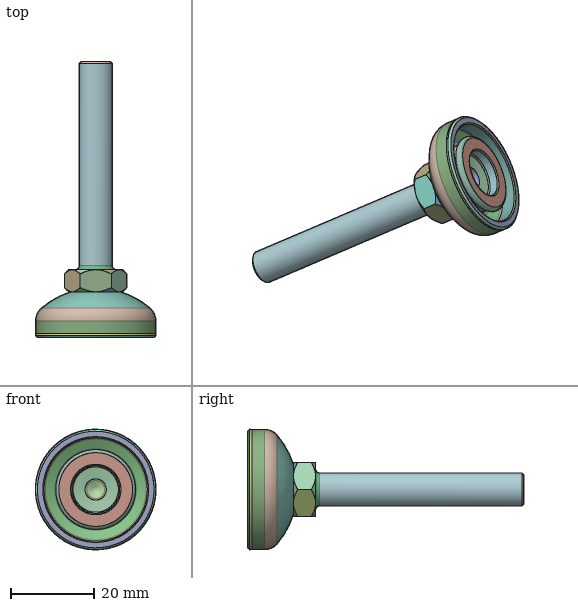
import cadquery as cq
import math


rim_radius = 14.5
base_radius = 14.45
rim_chamfer = 0.5
rim_band_top = 1.0
rim_band_flare = 0.1
shoulder_start = 4.05
shoulder_radius = 4.0
dome_radius = 20.0
base_height = 11.0

cavity_radius = 12.4
cavity_wall_end = 3.7
cavity_roof_slope = 30.0
edge_break = 0.3

boss_face = 0.2
boss_face_radius = 8.85
lip_outer_radius = 9.6
lip_height = 2.0
neck_radius = 8.55
neck_fillet = 0.8

recess_radius = 5.75
recess_wall_end = 2.6
recess_floor_slope = 11.0
bore_radius = 2.55

hex_across_flats = 13.0
hex_height = 5.3
hex_chamfer_slope = 45.0
rod_radius = 4.0
rod_length = 50.0
rod_chamfer = 0.5
rod_fillet = 1.0
pin_end = 6.0
pin_hollow_radius = 2.15
pin_hollow_slope = 26.0
pin_rim_slope = 12.0


def rise(run, slope):
    """Height gained over a radial run at a slope in degrees."""
    return run * math.tan(math.radians(slope))


def revolve_about_y(profile):
    return profile.close().revolve(360, (0, 0, 0), (0, 1, 0))


def make_base():
    shoulder_x = base_radius - shoulder_radius
    centre_gap = dome_radius - shoulder_radius
    joint_angle = math.acos(shoulder_x / centre_gap)
    dome_centre = shoulder_start - centre_gap * math.sin(joint_angle)

    def on_shoulder(angle):
        return (
            shoulder_x + shoulder_radius * math.cos(angle),
            shoulder_start + shoulder_radius * math.sin(angle),
        )

    def on_dome(angle):
        return (
            dome_radius * math.cos(angle),
            dome_centre + dome_radius * math.sin(angle),
        )

    seat_angle = math.asin((base_height - dome_centre) / dome_radius)

    lip_top = boss_face + lip_height
    cavity_end_radius = cavity_radius - edge_break
    cavity_end = cavity_wall_end + edge_break
    cavity_top = cavity_end + rise(cavity_end_radius - neck_radius, cavity_roof_slope)

    fillet_turn = math.pi / 2 + math.radians(cavity_roof_slope)
    fillet_start = cavity_top - neck_fillet / math.tan((math.pi - fillet_turn) / 2)

    def on_neck_fillet(angle):
        return (
            neck_radius + neck_fillet + neck_fillet * math.cos(angle),
            fillet_start + neck_fillet * math.sin(angle),
        )

    recess_end_radius = recess_radius - edge_break
    recess_end = recess_wall_end + edge_break
    bore_mouth = recess_end + rise(recess_end_radius - bore_radius, recess_floor_slope)

    profile = (
        cq.Workplane("XY")
        .moveTo(rim_radius - rim_chamfer, 0)
        .lineTo(rim_radius, rim_chamfer)
        .lineTo(rim_radius - rim_band_flare, rim_band_top)
        .lineTo(base_radius, rim_band_top)
        .lineTo(base_radius, shoulder_start)
        .threePointArc(on_shoulder(joint_angle / 2), on_shoulder(joint_angle))
        .threePointArc(on_dome((joint_angle + seat_angle) / 2), on_dome(seat_angle))
        .lineTo(bore_radius, base_height)
        .lineTo(bore_radius, bore_mouth)
        .lineTo(recess_end_radius, recess_end)
        .lineTo(recess_radius, recess_wall_end)
        .lineTo(recess_radius, boss_face + edge_break)
        .lineTo(recess_radius + edge_break, boss_face)
        .lineTo(boss_face_radius, boss_face)
        .threePointArc((lip_outer_radius, boss_face + lip_height / 2), (neck_radius, lip_top))
        .lineTo(neck_radius, fillet_start)
        .threePointArc(on_neck_fillet(math.pi - fillet_turn / 2), on_neck_fillet(math.pi - fillet_turn))
        .lineTo(cavity_end_radius, cavity_end)
        .lineTo(cavity_radius, cavity_wall_end)
        .lineTo(cavity_radius, edge_break)
        .lineTo(cavity_radius + edge_break, 0)
    )
    return revolve_about_y(profile)


def make_hexagon():
    corner_radius = hex_across_flats / 2 / math.cos(math.pi / 6)
    face_radius = hex_across_flats / 2
    hex_top = base_height + hex_height
    chamfer_height = rise(corner_radius - face_radius, hex_chamfer_slope)

    prism = (
        cq.Workplane("XZ", origin=(0, base_height, 0))
        .polygon(6, 2 * corner_radius)
        .extrude(-hex_height)
    )
    envelope = revolve_about_y(
        cq.Workplane("XY")
        .moveTo(0, base_height)
        .lineTo(face_radius, base_height)
        .lineTo(corner_radius, base_height + chamfer_height)
        .lineTo(corner_radius, hex_top - chamfer_height)
        .lineTo(face_radius, hex_top)
        .lineTo(0, hex_top)
    )
    return prism.intersect(envelope)


def make_rod():
    rod_start = base_height + hex_height
    rod_end = rod_start + rod_length
    fillet_mid = rod_fillet * (1 - math.sqrt(0.5))
    return revolve_about_y(
        cq.Workplane("XY")
        .moveTo(0, rod_start)
        .lineTo(rod_radius + rod_fillet, rod_start)
        .threePointArc(
            (rod_radius + fillet_mid, rod_start + fillet_mid),
            (rod_radius, rod_start + rod_fillet),
        )
        .lineTo(rod_radius, rod_end - rod_chamfer)
        .lineTo(rod_radius - rod_chamfer, rod_end)
        .lineTo(0, rod_end)
    )


def make_pin():
    hollow_mouth = pin_end + rise(bore_radius - pin_hollow_radius, pin_rim_slope)
    hollow_tip = hollow_mouth + rise(pin_hollow_radius, pin_hollow_slope)
    return revolve_about_y(
        cq.Workplane("XY")
        .moveTo(0, hollow_tip)
        .lineTo(pin_hollow_radius, hollow_mouth)
        .lineTo(bore_radius, pin_end)
        .lineTo(bore_radius, base_height)
        .lineTo(0, base_height)
    )


base = make_base()
spindle = make_hexagon().union(make_rod()).union(make_pin())

result = cq.Compound.makeCompound([base.val(), spindle.val()])